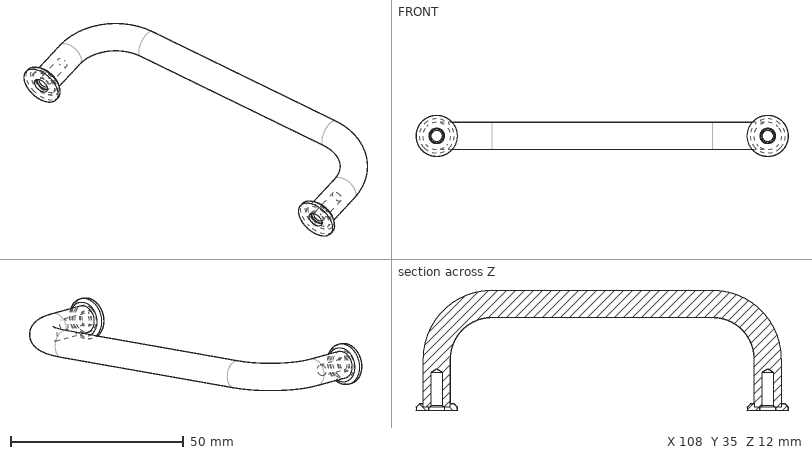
import cadquery as cq
import math

overall_length = 108.0
overall_depth = 35.0
bar_diameter = 8.0
bend_radius = 16.0
flange_diameter = 12.0
flange_thickness = 2.0
flange_chamfer = 1.0
socket_depth = 1.0
flange_hole_diameter = 4.5
countersink_diameter = 4.0
screw_hole_diameter = 3.2
screw_hole_depth = 10.0
drill_tip_angle = 118.0

leg_x = (overall_length - flange_diameter) / 2
grip_y = overall_depth - bar_diameter / 2
leg_end_y = flange_thickness - socket_depth
bend_start_y = grip_y - bend_radius
countersink_depth = (countersink_diameter - screw_hole_diameter) / 2
bend_start_x = leg_x - bend_radius
bend_offset = bend_radius * math.sin(math.radians(45))


def leg_hole(x):
    """Blind screw hole with a 45-degree countersink and a conical drill tip, entering a leg end."""
    radius = screw_hole_diameter / 2
    bottom_y = leg_end_y + screw_hole_depth
    tip_y = bottom_y + radius / math.tan(math.radians(drill_tip_angle / 2))
    return (
        cq.Workplane("XY")
        .moveTo(0, leg_end_y)
        .lineTo(countersink_diameter / 2, leg_end_y)
        .lineTo(radius, leg_end_y + countersink_depth)
        .lineTo(radius, bottom_y)
        .lineTo(0, tip_y)
        .close()
        .revolve(360, (0, 0, 0), (0, 1, 0))
        .translate((x, 0, 0))
    )


def make_handle():
    """Round bar bent into a U, with a screw hole in the end of each leg."""
    path = (
        cq.Workplane("XY")
        .moveTo(-leg_x, leg_end_y)
        .lineTo(-leg_x, bend_start_y)
        .threePointArc((-bend_start_x - bend_offset, bend_start_y + bend_offset), (-bend_start_x, grip_y))
        .lineTo(bend_start_x, grip_y)
        .threePointArc((bend_start_x + bend_offset, bend_start_y + bend_offset), (leg_x, bend_start_y))
        .lineTo(leg_x, leg_end_y)
    )
    handle = (
        cq.Workplane("XZ", origin=(-leg_x, leg_end_y, 0))
        .circle(bar_diameter / 2)
        .sweep(path)
    )
    for x in (-leg_x, leg_x):
        handle = handle.cut(leg_hole(x))
    return handle


def make_flange(x):
    """Chamfered washer around the end of a leg, with a socket for the leg and a clearance hole."""
    socket = (
        cq.Workplane("XZ", origin=(x, flange_thickness, 0))
        .circle(bar_diameter / 2)
        .extrude(socket_depth)
    )
    return (
        cq.Workplane("XZ", origin=(x, flange_thickness, 0))
        .circle(flange_diameter / 2)
        .extrude(flange_thickness)
        .faces(">Y")
        .chamfer(flange_chamfer)
        .faces("<Y")
        .workplane(origin=(x, 0, 0))
        .hole(flange_hole_diameter)
        .cut(socket)
    )


handle = make_handle()
flanges = [make_flange(x).val() for x in (-leg_x, leg_x)]

result = cq.Compound.makeCompound([handle.val(), *flanges])